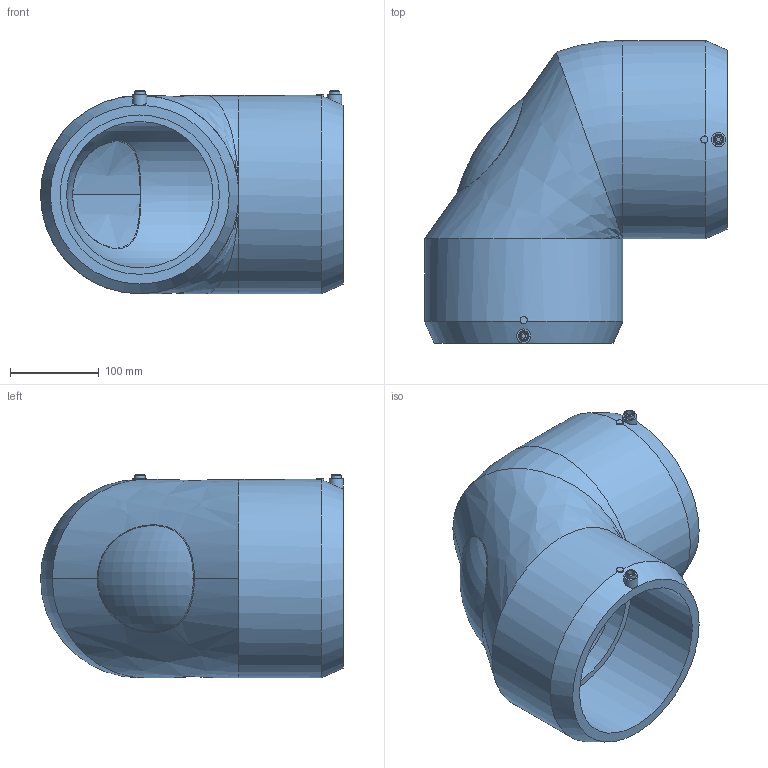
import cadquery as cq
import math

ELBOW_ANGLE = 90.0

BODY_DIAMETER = 224.0
SOCKET_DIAMETER = 180.0
BORE_DIAMETER = 165.33
ARM_LENGTH = 230.0
SOCKET_DEPTH = 98.0

ROUND_BEND_ANGLE = 19.7
JOINT_THICKNESS = 0.5
BEND_CLEARANCE = 0.01

NOSE_LENGTH = 25.0
NOSE_END_RADIUS = 101.0

X_ARM_TERMINAL_SETBACK = 10.0
Y_ARM_TERMINAL_SETBACK = 8.0
SHROUD_DIAMETER = 16.0
SHROUD_TOP = 113.0
COLLAR_DIAMETER = 12.0
COLLAR_TOP = 118.0
COLLAR_CHAMFER = 1.0
WELL_DIAMETER = 8.0
WELL_DEPTH = 10.0
CONTACT_DIAMETER = 5.0
CONTACT_RECESS = 4.5

INDICATOR_SETBACK = 26.0
INDICATOR_DIAMETER = 8.0
INDICATOR_TOP = 113.0

BODY_RADIUS = BODY_DIAMETER / 2
SOCKET_RADIUS = SOCKET_DIAMETER / 2
BORE_RADIUS = BORE_DIAMETER / 2
BEND_RADIUS = BODY_RADIUS + BEND_CLEARANCE
NOSE_START = ARM_LENGTH - NOSE_LENGTH
SOCKET_FLOOR = ARM_LENGTH - SOCKET_DEPTH
PIN_ROOT = (SOCKET_RADIUS + NOSE_END_RADIUS) / 2


def bend(radius, angle):
    """Round bend starting at the inner end of the +X arm and turning towards the -Y arm."""
    return (
        cq.Workplane("YZ", origin=(BEND_RADIUS, 0, 0))
        .circle(radius)
        .revolve(angle, (-BEND_RADIUS, 0, 0), (-BEND_RADIUS, 1, 0))
    )


def bend_section(radius, angle):
    """Circular cross-section of the bend at an angle from the +X arm."""
    turn = math.radians(angle)
    center = cq.Vector(
        BEND_RADIUS - BEND_RADIUS * math.sin(turn),
        BEND_RADIUS * math.cos(turn) - BEND_RADIUS,
        0,
    )
    normal = cq.Vector(math.cos(turn), math.sin(turn), 0)
    return cq.Wire.makeCircle(radius, center, normal)


def slanted_section(radius):
    """Straight run between the end of the round bend and the -Y arm."""
    start = bend_section(radius, ROUND_BEND_ANGLE)
    end = bend_section(radius, ELBOW_ANGLE)
    return cq.Workplane(cq.Solid.makeLoft([start, end], True))


def arm():
    """Solid +X arm with its tapered nose."""
    profile = (
        cq.Workplane("XY")
        .moveTo(BEND_RADIUS, 0)
        .lineTo(BEND_RADIUS, BODY_RADIUS)
        .lineTo(NOSE_START, BODY_RADIUS)
        .lineTo(ARM_LENGTH, NOSE_END_RADIUS)
        .lineTo(ARM_LENGTH, 0)
        .close()
    )
    return profile.revolve(360, (0, 0, 0), (1, 0, 0))


def socket():
    """Pipe socket of the +X arm and the narrower bore from its floor to the bend."""
    wide = cq.Workplane("YZ", origin=(SOCKET_FLOOR, 0, 0)).circle(SOCKET_RADIUS).extrude(SOCKET_DEPTH)
    bore_length = SOCKET_FLOOR - BEND_RADIUS
    narrow = cq.Workplane("YZ", origin=(BEND_RADIUS, 0, 0)).circle(BORE_RADIUS).extrude(bore_length)
    return wide.union(narrow)


def pin(x, diameter, bottom, top):
    """Upright cylinder on the +X arm between two heights."""
    return cq.Workplane("XY", origin=(x, 0, bottom)).circle(diameter / 2).extrude(top - bottom)


def fittings(terminal_setback):
    """Terminal and fusion indicator on top of the +X arm."""
    terminal_x = ARM_LENGTH - terminal_setback
    indicator_x = ARM_LENGTH - INDICATOR_SETBACK
    shroud = pin(terminal_x, SHROUD_DIAMETER, PIN_ROOT, SHROUD_TOP)
    collar = pin(terminal_x, COLLAR_DIAMETER, PIN_ROOT, COLLAR_TOP).faces(">Z").chamfer(COLLAR_CHAMFER)
    well = pin(terminal_x, WELL_DIAMETER, COLLAR_TOP - WELL_DEPTH, COLLAR_TOP)
    contact = pin(terminal_x, CONTACT_DIAMETER, PIN_ROOT, COLLAR_TOP - CONTACT_RECESS)
    indicator = pin(indicator_x, INDICATOR_DIAMETER, PIN_ROOT, INDICATOR_TOP)
    return shroud.union(collar).cut(well).union(contact).union(indicator)


def on_y_arm(shape):
    """Turn a +X arm shape onto the -Y arm."""
    return shape.rotate((0, 0, 0), (0, 0, 1), -ELBOW_ANGLE)


def elbow_body(radius):
    """Solid elbow of a given section radius: the round bend followed by the slanted run."""
    return bend(radius, ROUND_BEND_ANGLE).union(slanted_section(radius))


def elbow():
    """Hollow elbow with a solid bulge where the bore's path runs outside the slanted wall."""
    bore_path = bend(BORE_RADIUS, ELBOW_ANGLE)
    hollow = bore_path.intersect(elbow_body(BODY_RADIUS - JOINT_THICKNESS))
    return elbow_body(BODY_RADIUS).union(bore_path).cut(hollow)


hollow_arm = arm().cut(socket())

result = (
    elbow()
    .union(hollow_arm)
    .union(on_y_arm(hollow_arm))
    .union(fittings(X_ARM_TERMINAL_SETBACK))
    .union(on_y_arm(fittings(Y_ARM_TERMINAL_SETBACK)))
)